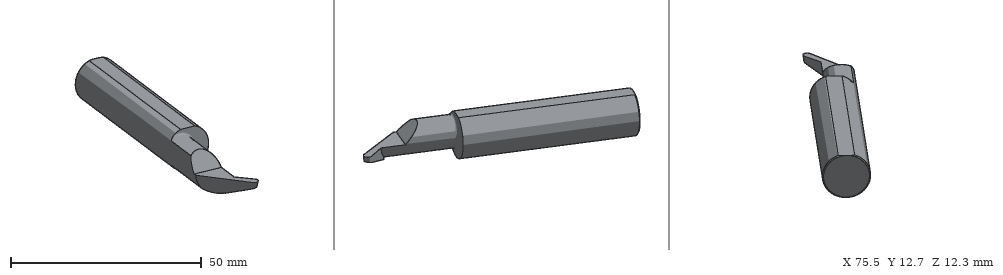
import cadquery as cq
import math

total_length = 75.45
shank_radius = 6.35
shank_length = 48.5
back_chamfer = 0.3
flat_height = 5.95

neck_radius = 4.45
neck_offset = -2.6
root_fillet = 0.7
slope_foot_x = 63.0

heel = (63.85, -shank_radius)
arm_root = (69.65, neck_offset + neck_radius)
tip_radius = 1.1
tip_center = (total_length - tip_radius, shank_radius - tip_radius)
arm_angle = 45
arm_length = 7.55
tip_depth = 1.5
arm_depth = 4.15
relief_angle = 11


def cylinder_x(radius, length, start=0):
    """Solid cylinder parallel to X."""
    return cq.Workplane("YZ", origin=(start, 0, 0)).circle(radius).extrude(length)


def tip_point(angle):
    """Point on the tip round at an angle measured from X."""
    turn = math.radians(angle)
    return (
        tip_center[0] + tip_radius * math.cos(turn),
        tip_center[1] + tip_radius * math.sin(turn),
    )


def make_shank():
    body = cylinder_x(shank_radius, shank_length).faces("<X").chamfer(back_chamfer)
    above_flat = (
        cq.Workplane("XY", origin=(0, 0, flat_height))
        .rect(3 * shank_length, 3 * shank_radius)
        .extrude(shank_radius)
    )
    return body.cut(above_flat)


def make_neck():
    """Neck flared at its root, sloped to the cutting face and trimmed along the arm's front face."""
    neck_length = total_length - shank_length
    neck = (
        cq.Workplane("XY", origin=(0, neck_offset, 0))
        .moveTo(shank_length, 0)
        .lineTo(shank_length, neck_radius + root_fillet)
        .radiusArc((shank_length + root_fillet, neck_radius), -root_fillet)
        .lineTo(total_length, neck_radius)
        .lineTo(total_length, 0)
        .close()
        .revolve(360, (0, 0, 0), (1, 0, 0))
    )
    above_face = (
        cq.Workplane("XZ")
        .moveTo(total_length, 0)
        .lineTo(slope_foot_x, 0)
        .lineTo(slope_foot_x - shank_radius, shank_radius)
        .lineTo(total_length, shank_radius)
        .close()
        .extrude(shank_radius * 2, both=True)
    )
    trim = cylinder_x(shank_radius, neck_length, shank_length)
    return neck.intersect(trim).cut(above_face).cut(make_nose_waste())


def make_arm_trim():
    """Plan shape of the arm. It leans back along its front face below the cutting face."""
    outline = (
        cq.Workplane("XY")
        .moveTo(*heel)
        .lineTo(*tip_point(arm_angle - 90))
        .threePointArc(tip_point(arm_angle), tip_point(arm_angle + 90))
        .lineTo(*arm_root)
        .close()
    )
    lean = shank_radius * math.tan(math.radians(relief_angle))
    tip_start = tip_point(arm_angle - 90)
    front_angle = math.atan2(tip_start[1] - heel[1], tip_start[0] - heel[0])
    lean_x = -lean * math.cos(front_angle)
    lean_y = -lean * math.sin(front_angle)
    direction = cq.Vector(lean_x, lean_y, -shank_radius)
    return cq.Workplane(cq.Solid.extrudeLinear(outline.val(), [], direction))


def make_arm():
    """Arm with its underside rising towards the tip."""
    bar = (
        cq.Workplane("XZ")
        .moveTo(-arm_length, 0)
        .lineTo(tip_radius, 0)
        .lineTo(tip_radius, -tip_depth)
        .lineTo(-arm_length, -arm_depth)
        .close()
        .extrude(2 * tip_radius, both=True)
        .rotate((0, 0, 0), (0, 0, 1), arm_angle)
        .translate((*tip_center, 0))
    )
    return bar.intersect(make_arm_trim())


def make_nose_waste():
    """Part of the neck that lies in front of the arm's front face."""
    front = tip_point(arm_angle - 90)
    return (
        cq.Workplane("XY", origin=(0, 0, -shank_radius))
        .moveTo(*heel)
        .lineTo(*front)
        .lineTo(front[0] + shank_radius, heel[1])
        .close()
        .extrude(2 * shank_radius)
    )


result = make_shank().union(make_neck()).union(make_arm())